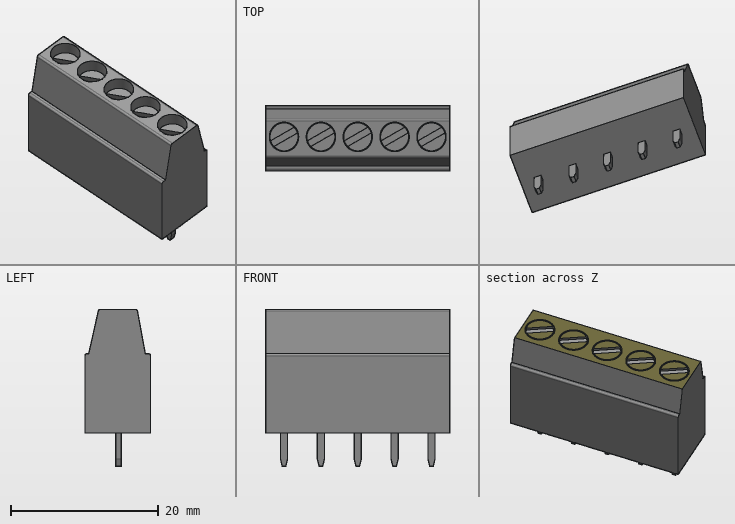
import cadquery as cq

pole_count = 5
pole_pitch = 5.0
length = pole_count * pole_pitch
depth = 8.9
body_height = 16.8
taper_height = 6.0
shoulder_height = body_height - taper_height
front_shoulder = 0.7
rear_shoulder = 0.5
top_front = 1.8
top_rear = 7.05
edge_radius = 0.3

well_diameter = 4.0
well_depth = 1.7
well_y = 4.65
head_diameter = 3.8
gap_depth = 1.0
slot_width = 0.9
slot_depth = 0.8
slot_angle = 30.0

pin_width = 1.0
pin_thickness = 0.8
pin_length = 4.5
pin_tip_width = 0.5
pin_tip_length = 1.0
pin_y = 4.35

pole_positions = [(i + 0.5) * pole_pitch for i in range(pole_count)]


def make_housing():
    profile = [
        (0, 0),
        (depth, 0),
        (depth, shoulder_height),
        (depth - rear_shoulder, shoulder_height),
        (top_rear, body_height),
        (top_front, body_height),
        (front_shoulder, shoulder_height),
        (0, shoulder_height),
    ]
    rounded_corners = [
        (depth, shoulder_height),
        (top_rear, body_height),
        (top_front, body_height),
        (0, shoulder_height),
    ]
    housing = cq.Workplane("YZ").polyline(profile).close().extrude(length)
    for y, z in rounded_corners:
        edge = cq.selectors.NearestToPointSelector((length / 2, y, z))
        housing = housing.edges("|X").edges(edge).fillet(edge_radius)
    return housing


def make_screw_cavity(x):
    """Empty space of one pole: the well, the gap around the head and the slot."""
    head_top = body_height - well_depth
    at_head = cq.Workplane("XY", origin=(x, well_y, head_top))
    well = at_head.circle(well_diameter / 2).extrude(well_depth)
    gap = at_head.circle(well_diameter / 2).circle(head_diameter / 2).extrude(-gap_depth)
    slot = (
        at_head.transformed(rotate=(0, 0, slot_angle))
        .rect(well_diameter, slot_width)
        .extrude(-slot_depth)
        .intersect(at_head.circle(well_diameter / 2).extrude(-slot_depth))
    )
    return well.union(gap).union(slot)


def make_pin(x):
    half_width = pin_width / 2
    half_tip = pin_tip_width / 2
    taper_start = pin_tip_length - pin_length
    outline = [
        (-half_width, 0),
        (-half_width, taper_start),
        (-half_tip, -pin_length),
        (half_tip, -pin_length),
        (half_width, taper_start),
        (half_width, 0),
    ]
    plane = cq.Workplane("XZ", origin=(x, pin_y, 0))
    return plane.polyline(outline).close().extrude(pin_thickness / 2, both=True)


result = make_housing()
for pole_x in pole_positions:
    result = result.cut(make_screw_cavity(pole_x)).union(make_pin(pole_x))